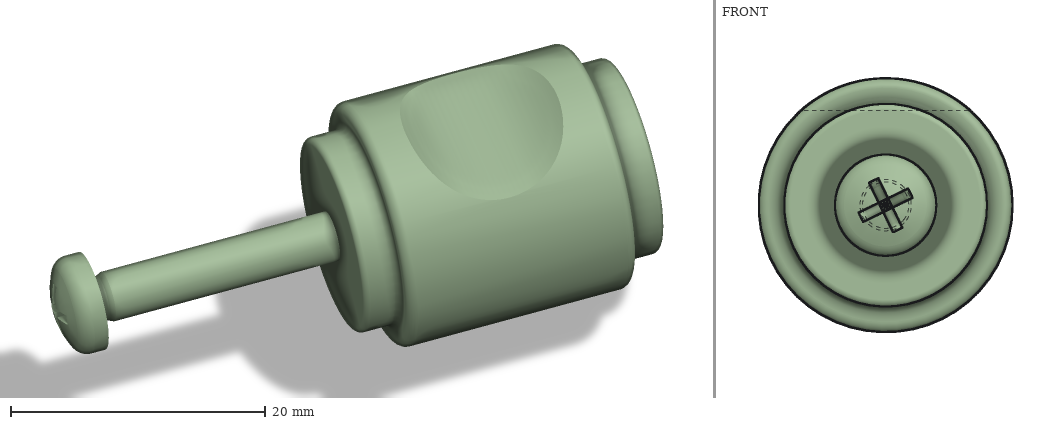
import cadquery as cq
import math

barrel_radius = 10.0
barrel_length = 19.05
barrel_rounding = 0.75
collar_radius = 8.0
collar_length = 3.0
collar_edge_rounding = 0.5
collar_root_rounding = 0.5
knob_half_length = barrel_length / 2 + collar_length

scoop_radius = 9.0
scoop_floor_z = 7.45

overall_length = 48.05
shaft_radius = 2.0
neck_radius = 1.85
neck_length = 0.85
neck_taper_length = 0.45
head_radius = 4.0
head_height = 3.12
head_rim_height = 1.15
dome_radius = 3.25
dome_base_height = 2.3

recess_turn = 26.0
recess_arms = 4
arm_reach = 2.6
arm_width = 0.8
arm_step_reach = 1.55
arm_step_depth = 0.85
recess_depth = 1.55

dome_rise = head_height - dome_base_height
dome_sphere_radius = (dome_radius**2 + dome_rise**2) / (2 * dome_rise)
arm_corner_radius = arm_width / math.sqrt(2)


def dome_drop(radius):
    """Depth of the dome surface below its full height at a radius from the axis."""
    return dome_sphere_radius - math.sqrt(dome_sphere_radius**2 - radius**2)


shaft_length = overall_length - 2 * knob_half_length - head_height + dome_drop(arm_corner_radius)


def along_y(solid):
    """Turn a shape built up +Z so that it points along -Y."""
    return solid.rotate((0, 0, 0), (1, 0, 0), 90)


def make_knob():
    barrel = cq.Workplane("XZ").circle(barrel_radius).extrude(barrel_length / 2, both=True)
    barrel = barrel.edges("%CIRCLE").fillet(barrel_rounding)
    collars = cq.Workplane("XZ").circle(collar_radius).extrude(knob_half_length, both=True)
    collars = collars.edges("%CIRCLE").fillet(collar_edge_rounding)
    knob = barrel.union(collars)

    root_margin = 0.05
    for side in (-1, 1):
        root = cq.selectors.BoxSelector(
            (-barrel_radius, side * barrel_length / 2 - root_margin, -barrel_radius),
            (barrel_radius, side * barrel_length / 2 + root_margin, barrel_radius),
        )
        root_edge = knob.edges(root).edges(cq.selectors.RadiusNthSelector(0))
        knob = root_edge.fillet(collar_root_rounding)

    scoop = (
        cq.Workplane("YZ")
        .center(0, scoop_floor_z + scoop_radius)
        .circle(scoop_radius)
        .extrude(barrel_radius, both=True)
    )
    return knob.cut(scoop)


def make_cross_recess(head_top):
    """Cross-shaped cutter reaching down from the top of the head."""
    arm = (
        cq.Workplane("XZ")
        .moveTo(0, head_top)
        .lineTo(arm_reach, head_top)
        .lineTo(arm_step_reach, head_top - arm_step_depth)
        .lineTo(0, head_top - recess_depth)
        .close()
        .extrude(arm_width / 2, both=True)
    )
    recess = arm
    for index in range(1, recess_arms):
        recess = recess.union(arm.rotate((0, 0, 0), (0, 0, 1), index * 360 / recess_arms))
    return recess.rotate((0, 0, 0), (0, 0, 1), recess_turn)


def make_screw():
    head_bottom = shaft_length
    head_top = shaft_length + head_height
    taper_end = head_bottom - neck_length

    dome_mid_radius = dome_radius / 2
    dome_mid_z = head_top - dome_drop(dome_mid_radius)

    screw = (
        cq.Workplane("XZ")
        .lineTo(shaft_radius, 0)
        .lineTo(shaft_radius, taper_end - neck_taper_length)
        .lineTo(neck_radius, taper_end)
        .lineTo(neck_radius, head_bottom)
        .lineTo(head_radius, head_bottom)
        .lineTo(head_radius, head_bottom + head_rim_height)
        .tangentArcPoint((dome_radius, head_bottom + dome_base_height), relative=False)
        .threePointArc((dome_mid_radius, dome_mid_z), (0, head_top))
        .close()
        .revolve(360, (0, 0, 0), (0, 1, 0))
    )
    screw = screw.cut(make_cross_recess(head_top))
    return along_y(screw).translate((0, -knob_half_length, 0))


knob = make_knob()
screw = make_screw()
result = cq.Compound.makeCompound([knob.val(), screw.val()])